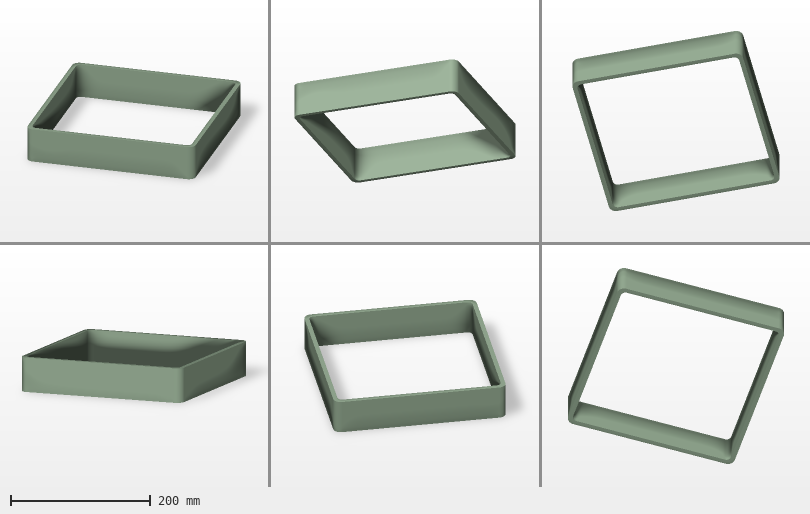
import cadquery as cq

side = 250.0
height = 50.0
wall = 6.5
outer_radius = 10.5
inner_radius = 7.0
inner_side = side - 2 * wall


def rounded_block(width, radius):
    """Square block standing on Z = 0 with rounded vertical edges."""
    return cq.Workplane("XY").rect(width, width).extrude(height).edges("|Z").fillet(radius)


result = rounded_block(side, outer_radius).cut(rounded_block(inner_side, inner_radius))